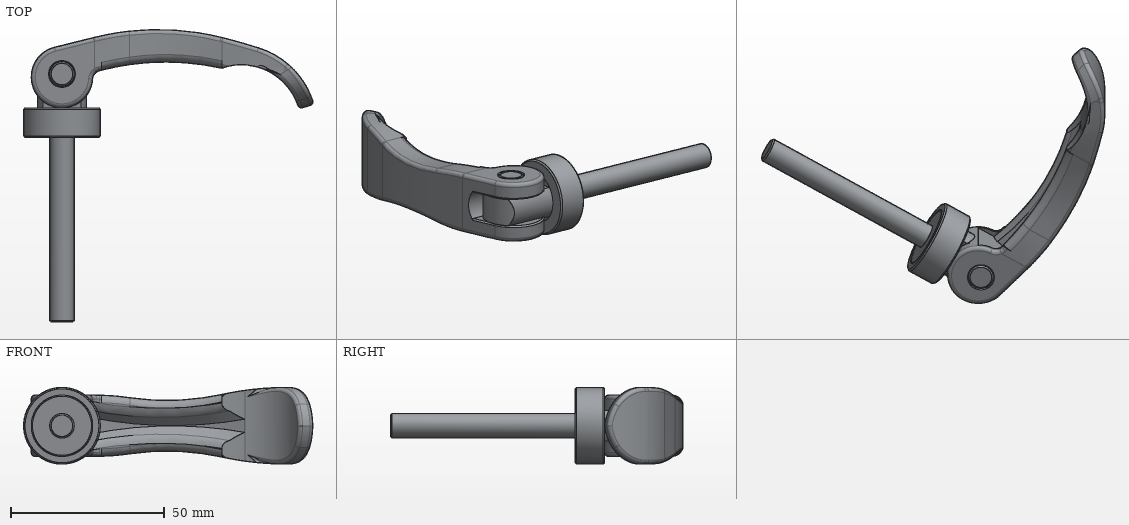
import cadquery as cq
import math

reach = 100.0

cam_radius = 10.0
cam_offset = 1.0
fork_half_width = 10.0
slot_half_width = 4.5
slot_chamfer = 0.5
back_slope = math.radians(14.0)
neck_fillet = 3.0
lever_edge_fillet = 1.3
rail_fillet = 2.5
rail_start_x = 12.8
rail_zone_top = 7.5

head_radius = 8.0
foot_top = -6.0
foot_half_width = slot_half_width + slot_chamfer
ring_top = -cam_offset - cam_radius
ring_height = 9.6
ring_bottom = ring_top - ring_height
ring_radius = 12.5
ring_chamfer = 0.5
flange_radius = 10.0
flange_top = ring_bottom + ring_height / 2
flange_chamfer = 0.4

stud_radius = 4.0
stud_length = 60.0
stud_chamfer = 0.5
pin_radius = 4.0
pin_chamfer = 0.5
pin_hole_chamfer = 0.35

back_tangent = (
    -cam_radius * math.sin(back_slope),
    cam_radius * math.cos(back_slope) - cam_offset,
)
fork_end_x = 10.5
arm_end_x = 52.0
back_start = (fork_end_x, back_tangent[1] + (fork_end_x - back_tangent[0]) * math.tan(back_slope))
back_crown = (31.1, 14.5)
back_arm_end = (arm_end_x, 11.9)
back_thumb = (64.0, 8.5)
back_tip = (82.0, -10.15)
under_tip = (77.0, -11.3)
under_tip_middle = (70.4, -1.3)
under_thumb = (59.5, 2.95)
under_arm_end = (arm_end_x, 1.85)
under_crown = (33.0, 3.85)
under_arm_start = (9.9, 0.4)
cam_bottom = (0.0, ring_top)
back_arc = (back_start, back_crown, back_arm_end)
under_arc = (under_arm_start, under_crown, under_arm_end)

waist_start = (22.0, 9.15)
waist_end = (arm_end_x, 10.19)
thumb_widest = (73.9, ring_radius)

tip_tilt = math.radians(74)
tip_rounding_start = (19.0, ring_radius)
tip_shoulder = (29.5, 7.0)
tip_centre = (32.1, 0.0)

rail_point = (under_crown[0], under_crown[1], 8.3)
under_tip_point = (78.0, -11.0, 6.0)

groove_stations = (fork_end_x - 2, 22.0, 34.0, 46.0, arm_end_x, 64.0)
groove_floor_edge = ((13.0, 2.0), (36.5, 0.05), (60.0, 2.25))
groove_rim_edge = ((12.5, 7.4), (34.0, 5.75), (arm_end_x, 7.4))
groove_depth_below_back = 6.7
groove_rim_width = 3.0
groove_rim_drop = 1.3
groove_overcut = 6.0

flatness = 1e-4


def y_cylinder(radius, bottom, top):
    """Cylinder about the stud axis between two heights."""
    return cq.Workplane("XZ", origin=(0, bottom, 0)).circle(radius).extrude(bottom - top)


def slab(half_width, x_min, x_max, y_min, y_max):
    """Block centred on Z = 0."""
    return (
        cq.Workplane("XY")
        .box(x_max - x_min, y_max - y_min, 2 * half_width, centered=(False, False, True))
        .translate((x_min, y_min, 0))
    )


def edge_near(solid, point):
    """Returns the edge of the solid that passes closest to the point."""
    target = cq.Vertex.makeVertex(*point)
    return min(solid.Edges(), key=lambda edge: edge.distance(target))


def circle_through(start, middle, end):
    """Returns the centre and radius of the circle through three points."""
    (ax, ay), (bx, by), (cx, cy) = start, middle, end
    twice_area = 2 * (ax * (by - cy) + bx * (cy - ay) + cx * (ay - by))
    a2, b2, c2 = ax**2 + ay**2, bx**2 + by**2, cx**2 + cy**2
    x = (a2 * (by - cy) + b2 * (cy - ay) + c2 * (ay - by)) / twice_area
    y = (a2 * (cx - bx) + b2 * (ax - cx) + c2 * (bx - ax)) / twice_area
    return x, y, math.hypot(ax - x, ay - y)


def arc_height(points, x):
    """Height at X of an arc given by three points, on the side of its middle point."""
    centre_x, centre_y, radius = circle_through(*points)
    rise = math.sqrt(radius**2 - (x - centre_x) ** 2)
    return centre_y + math.copysign(rise, points[1][1] - centre_y)


def lever_side():
    neck_corner = cq.selectors.NearestToPointSelector((*under_arm_start, ring_radius / 2))
    return (
        cq.Workplane("XY")
        .moveTo(*back_tangent)
        .lineTo(*back_start)
        .tangentArcPoint(back_arm_end, relative=False)
        .tangentArcPoint(back_thumb, relative=False)
        .tangentArcPoint(back_tip, relative=False)
        .lineTo(*under_tip)
        .threePointArc(under_tip_middle, under_thumb)
        .tangentArcPoint(under_arm_end, relative=False)
        .threePointArc(under_crown, under_arm_start)
        .threePointArc(cam_bottom, back_tangent)
        .close()
        .extrude(ring_radius + 1)
        .edges(neck_corner)
        .fillet(neck_fillet)
    )


def lever_plan():
    return (
        cq.Workplane("XZ", origin=(0, -reach / 2, 0))
        .moveTo(-2 * cam_radius, 0)
        .lineTo(-2 * cam_radius, fork_half_width)
        .lineTo(fork_end_x, fork_half_width)
        .tangentArcPoint(waist_start, relative=False)
        .tangentArcPoint(waist_end, relative=False)
        .tangentArcPoint(thumb_widest, relative=False)
        .lineTo(reach, ring_radius)
        .lineTo(reach, 0)
        .close()
        .extrude(-reach)
    )


def thumb_end():
    along_tip = (math.cos(tip_tilt), -math.sin(tip_tilt), 0)
    across_tip = (-math.sin(tip_tilt), -math.cos(tip_tilt), 0)
    return (
        cq.Workplane(cq.Plane((0, 0, 0), along_tip, across_tip))
        .moveTo(-reach, 0)
        .lineTo(-reach, ring_radius)
        .lineTo(*tip_rounding_start)
        .tangentArcPoint(tip_shoulder, relative=False)
        .tangentArcPoint(tip_centre, relative=False)
        .close()
        .extrude(reach, both=True)
    )


def lever_half():
    """Half of the lever above Z = 0, with rounded edges."""
    sharp = lever_side().intersect(lever_plan()).intersect(thumb_end()).val().Solids()[0]
    half = sharp.fillet(lever_edge_fillet, [edge_near(sharp, rail_point)])
    half = half.fillet(lever_edge_fillet, [edge_near(half, under_tip_point)])
    arm = sharp.intersect(slab(reach, -reach, under_thumb[0] - 1, -reach, reach).val())
    rounder = cq.Workplane(arm.Solids()[0].fillet(rail_fillet, [edge_near(arm, rail_point)]))
    rail_zone = slab(reach, rail_start_x, arm_end_x, -reach, rail_zone_top)
    return cq.Workplane(half).cut(rail_zone).union(rounder.intersect(rail_zone))


def groove_section(x):
    """Outline of the groove across the arm: flat floor, sloping walls and a rim rounded towards the rails."""
    floor = arc_height(groove_floor_edge, x)
    rim = arc_height(groove_rim_edge, x)
    wall = rim - groove_rim_width
    floor_y = arc_height(back_arc, x) - groove_depth_below_back
    rim_y = arc_height(under_arc, x)
    wall_y = rim_y + groove_rim_drop
    open_y = rim_y - groove_overcut
    rim_radius = (groove_rim_width**2 + groove_rim_drop**2) / (2 * groove_rim_drop)
    half_turn = math.asin(groove_rim_width / rim_radius) / 2
    middle = rim - rim_radius * math.sin(half_turn)
    middle_y = rim_y + rim_radius * (1 - math.cos(half_turn))
    return (
        cq.Workplane("YZ", origin=(x, 0, 0))
        .moveTo(floor_y, -floor)
        .lineTo(floor_y, floor)
        .lineTo(wall_y, wall)
        .threePointArc((middle_y, middle), (rim_y, rim))
        .lineTo(open_y, rim)
        .lineTo(open_y, -rim)
        .lineTo(rim_y, -rim)
        .threePointArc((middle_y, -middle), (wall_y, -wall))
        .close()
        .val()
    )


def groove():
    return cq.Workplane(cq.Solid.makeLoft([groove_section(x) for x in groove_stations]))


def fork_slot():
    open_side = slab(slot_half_width, -reach, 0, -reach, reach)
    end_block = slab(slot_half_width, 0, reach, -reach, reach)
    return open_side.union(y_cylinder(head_radius, -reach, reach).intersect(end_block))


def is_slot_rim(edge):
    box = edge.BoundingBox()
    is_level = abs(box.zmax - box.zmin) < flatness
    in_slot_side = is_level and abs(abs(box.zmax) - slot_half_width) < flatness
    end_corner = abs(box.xmax - box.xmin) < flatness
    return in_slot_side and not end_corner


def pin_hole():
    hole = cq.Workplane("XY").circle(pin_radius).extrude(fork_half_width, both=True)
    for side in (-1, 1):
        countersink = cq.Solid.makeCone(
            pin_radius + pin_hole_chamfer,
            pin_radius,
            pin_hole_chamfer,
            pnt=(0, 0, side * fork_half_width),
            dir=(0, 0, -side),
        )
        hole = hole.union(cq.Workplane(countersink))
    return hole


def make_lever():
    half = lever_half()
    body = half.union(half.mirror("XY")).cut(groove()).cut(fork_slot())
    rim = [edge for edge in body.val().Edges() if is_slot_rim(edge)]
    return body.newObject(rim).chamfer(slot_chamfer).cut(pin_hole())


def make_ring():
    ring = y_cylinder(ring_radius, ring_bottom, ring_top).faces("|Y").edges().chamfer(ring_chamfer)
    bore = y_cylinder(head_radius, ring_bottom, ring_top)
    counterbore = y_cylinder(flange_radius, ring_bottom, flange_top)
    return ring.cut(bore).cut(counterbore)


def make_cam_cylinder():
    return (
        cq.Workplane("XY", origin=(0, -cam_offset, -ring_radius))
        .circle(cam_radius)
        .extrude(2 * ring_radius)
    )


def make_tongue():
    """Flattened round head whose top follows the cam circle."""
    flats = slab(slot_half_width, -head_radius, head_radius, ring_top, cam_radius)
    below_cam_centre = slab(ring_radius, -head_radius, head_radius, ring_top, -cam_offset)
    rounded_top = make_cam_cylinder().union(below_cam_centre)
    return y_cylinder(head_radius, ring_top, cam_radius).intersect(flats).intersect(rounded_top)


def make_foot():
    """Wider foot of the tongue, clear of the cam."""
    flats = slab(foot_half_width, -head_radius, head_radius, ring_top, foot_top)
    return y_cylinder(head_radius, ring_top, foot_top).intersect(flats).cut(make_cam_cylinder())


def make_pin():
    return (
        cq.Workplane("XY", origin=(0, 0, -fork_half_width))
        .circle(pin_radius)
        .extrude(2 * fork_half_width)
        .faces("|Z")
        .chamfer(pin_chamfer)
    )


def make_stud():
    neck = y_cylinder(head_radius, flange_top, ring_top)
    flange = y_cylinder(flange_radius, ring_bottom, flange_top).faces("<Y").chamfer(flange_chamfer)
    rod = y_cylinder(stud_radius, ring_bottom - stud_length, ring_bottom).faces("<Y").chamfer(stud_chamfer)
    return make_tongue().union(make_foot()).union(neck).union(flange).union(rod).union(make_pin())


lever = make_lever()
ring = make_ring()
stud = make_stud()

result = cq.Compound.makeCompound([*lever.solids().vals(), *ring.solids().vals(), *stud.solids().vals()])